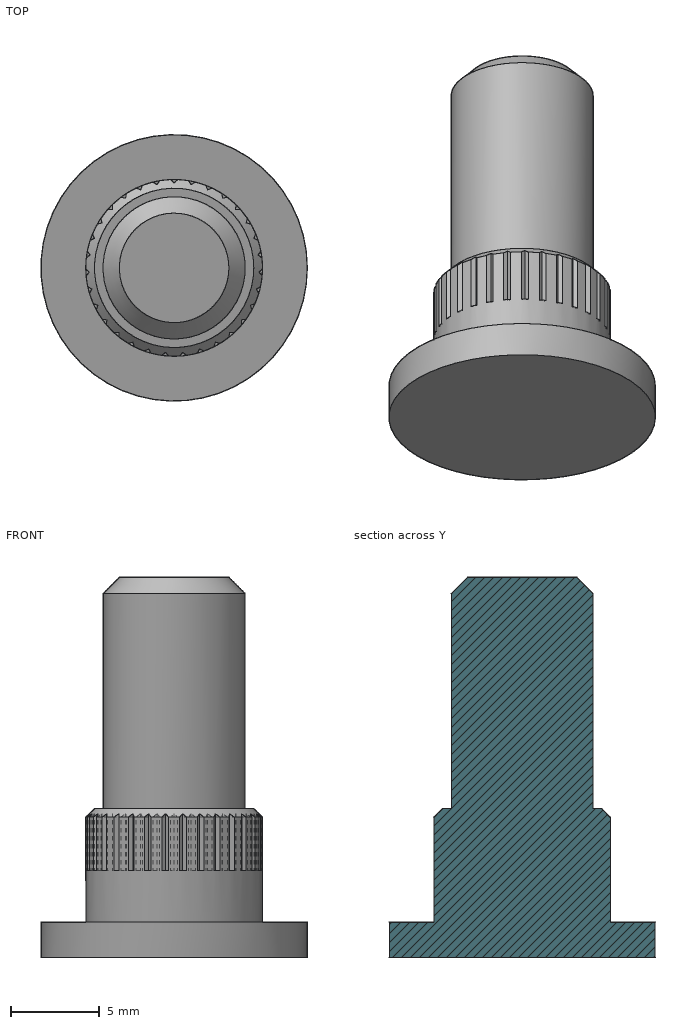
import cadquery as cq
import math

flange_diameter = 15.0
flange_thickness = 2.0

shoulder_diameter = 9.95
shoulder_top = 8.39
shoulder_chamfer = 0.5

knurl_bottom = 4.9
groove_count = 31
groove_depth = 0.2
groove_width = 0.39
first_groove_angle = 90.0

pin_diameter = 8.0
pin_top = 21.4
pin_chamfer = 0.92


def cylinder(diameter, bottom, top):
    """Upright cylinder on the Z axis between two heights."""
    return cq.Workplane("XY").workplane(offset=bottom).circle(diameter / 2).extrude(top - bottom)


def knurl_groove():
    """V-shaped cutter on the +X side, its flanks running out past the shoulder surface."""
    radius = shoulder_diameter / 2
    half_width = groove_width / 2
    root_x = radius - groove_depth
    surface_x = math.sqrt(radius**2 - half_width**2)
    mouth_x = root_x + 2 * (surface_x - root_x)
    return (
        cq.Workplane("XY")
        .workplane(offset=knurl_bottom)
        .polyline([(root_x, 0), (mouth_x, -groove_width), (mouth_x, groove_width)])
        .close()
        .extrude(shoulder_top - knurl_bottom)
    )


flange = cylinder(flange_diameter, 0, flange_thickness)
pin = cylinder(pin_diameter, shoulder_top, pin_top).faces(">Z").chamfer(pin_chamfer)

shoulder = cylinder(shoulder_diameter, flange_thickness, shoulder_top).faces(">Z").chamfer(shoulder_chamfer)
groove = knurl_groove()
groove_pitch = 360 / groove_count
for index in range(groove_count):
    angle = first_groove_angle + index * groove_pitch
    shoulder = shoulder.cut(groove.rotate((0, 0, 0), (0, 0, 1), angle))

result = flange.union(shoulder).union(pin)